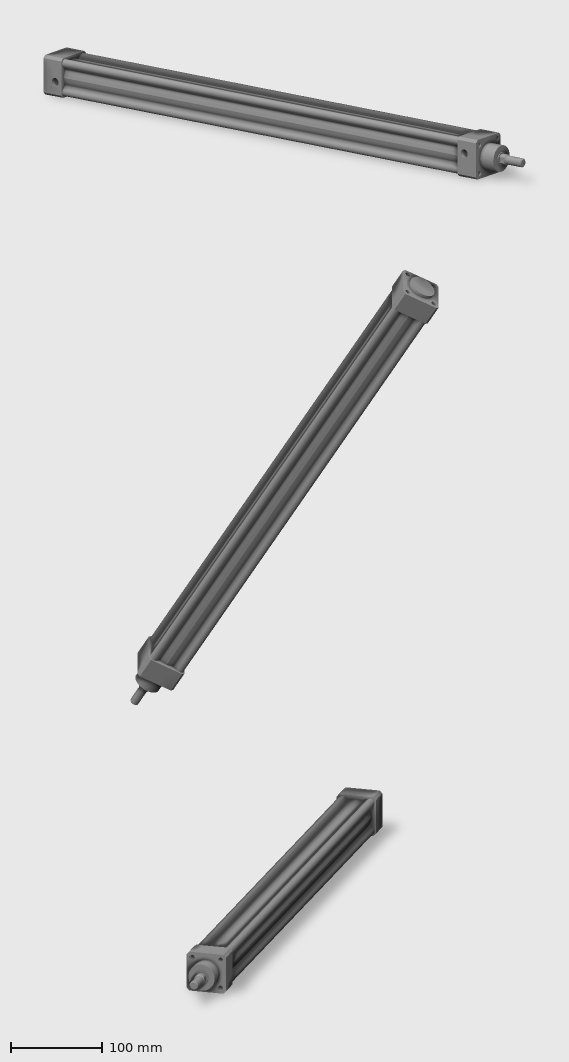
import cadquery as cq
import math

overall_length = 646.0
rear_spigot_length = 4.0
rear_cap_length = 24.5
front_cap_length = 25.5
front_boss_length = 18.0
shoulder_projection = 26.0
thread_length = 22.0

rear_end_x = -overall_length / 2
rear_face_x = rear_end_x + rear_spigot_length
barrel_start_x = rear_face_x + rear_cap_length
rod_tip_x = overall_length / 2
rod_shoulder_x = rod_tip_x - thread_length
front_face_x = rod_shoulder_x - shoulder_projection
barrel_end_x = front_face_x - front_cap_length
boss_end_x = front_face_x + front_boss_length

cap_side = 45.0
cap_corner_chamfer = 3.05
spigot_diameter = 30.0
wiper_collar_diameter = 15.0
wiper_collar_length = 1.0
screw_offset = 32.5 / 2
screw_hole_diameter = 4.2
screw_recess_diameter = 6.0
screw_recess_depth = 2.0
screw_hole_depth = 16.0

port_diameter = 9.2
port_depth = 10.0
port_inset = 16.0
port_height = 5.2

barrel_radius = 17.8
ridge_angle = 12.7
column_radius = 4.7
web_fillet_radius = 1.6

rod_diameter = 12.0
wrench_flat_width = 10.0
thread_diameter = 10.0
tip_chamfer = 1.0

screw_points = [(y, z) for y in (-screw_offset, screw_offset) for z in (-screw_offset, screw_offset)]


def section_at(x):
    """Plane across the cylinder axis at x, with local axes along Y and Z."""
    return cq.Workplane("YZ", origin=(x, 0, 0))


def cylinder_along_x(start_x, end_x, diameter):
    return section_at(start_x).circle(diameter / 2).extrude(end_x - start_x)


def cap_block(start_x, length):
    """Square block with its four long edges chamfered."""
    block = section_at(start_x).rect(cap_side, cap_side).extrude(length)
    return block.edges("|X").chamfer(cap_corner_chamfer)


def screw_holes(face_x, direction):
    """Four blind stepped hole cutters running from a cap face along +X (1) or -X (-1)."""
    mouths = section_at(face_x).pushPoints(screw_points)
    recesses = mouths.circle(screw_recess_diameter / 2).extrude(direction * screw_recess_depth)
    holes = mouths.circle(screw_hole_diameter / 2).extrude(direction * screw_hole_depth)
    return recesses.union(holes)


def port(x, z):
    """Blind hole cutter entering from the -Y side of a cap."""
    return cq.Workplane("XZ", origin=(x, -cap_side / 2, z)).circle(port_diameter / 2).extrude(-port_depth)


def make_rear_cap():
    cap = cap_block(rear_face_x, rear_cap_length)
    cap = cap.union(cylinder_along_x(rear_end_x, rear_face_x, spigot_diameter))
    cap = cap.cut(screw_holes(rear_face_x, 1))
    return cap.cut(port(rear_face_x + port_inset, -port_height))


def barrel_point(angle, radius=barrel_radius):
    turn = math.radians(angle)
    return (radius * math.cos(turn), radius * math.sin(turn))


def barrel_core():
    """Round core whose four ridges are pairs of flats tangent to the round stretches."""
    ridge_radius = barrel_radius / math.cos(math.radians(ridge_angle))
    outline = section_at(barrel_start_x).moveTo(*barrel_point(0, ridge_radius))
    for side_angle in (0, 90, 180, 270):
        outline = (
            outline.lineTo(*barrel_point(side_angle + ridge_angle))
            .threePointArc(barrel_point(side_angle + 45), barrel_point(side_angle + 90 - ridge_angle))
            .lineTo(*barrel_point(side_angle + 90, ridge_radius))
        )
    return outline.close().extrude(barrel_end_x - barrel_start_x)


def make_barrel():
    barrel = barrel_core()
    slot_length = 2 * (math.hypot(screw_offset, screw_offset) + column_radius)
    for angle in (45, -45):
        columns_and_web = (
            section_at(barrel_start_x)
            .slot2D(slot_length, 2 * column_radius, angle)
            .extrude(barrel_end_x - barrel_start_x)
        )
        barrel = barrel.union(columns_and_web)
    half_web_angle = math.degrees(math.asin(column_radius / barrel_radius))
    middle_x = (barrel_start_x + barrel_end_x) / 2
    for diagonal in (45, 135, 225, 315):
        for side in (-1, 1):
            corner = (middle_x, *barrel_point(diagonal + side * half_web_angle))
            edge = cq.selectors.NearestToPointSelector(corner)
            barrel = barrel.edges("|X").edges(edge).fillet(web_fillet_radius)
    return barrel


def make_front_cap():
    collar_end_x = boss_end_x + wiper_collar_length
    cap = cap_block(barrel_end_x, front_cap_length)
    cap = cap.union(cylinder_along_x(front_face_x, boss_end_x, spigot_diameter))
    cap = cap.union(cylinder_along_x(boss_end_x, collar_end_x, wiper_collar_diameter))
    cap = cap.cut(cylinder_along_x(barrel_end_x, collar_end_x, rod_diameter))
    cap = cap.cut(screw_holes(front_face_x, -1))
    return cap.cut(port(front_face_x - port_inset, port_height))


def wrench_flat_cutters():
    """Two blocks that leave parallel flats on the -Y and +Y sides of the exposed shaft."""
    start_x = boss_end_x + wiper_collar_length
    length = rod_shoulder_x - start_x
    block_width = rod_diameter
    block_centre = (wrench_flat_width + block_width) / 2
    blocks = section_at(start_x).pushPoints([(-block_centre, 0), (block_centre, 0)])
    return blocks.rect(block_width, 2 * rod_diameter).extrude(length)


def make_rod():
    """Rod from the barrel end through the front cap, with wrench flats, a tapered shoulder and a thin tip."""
    rod_radius = rod_diameter / 2
    thread_radius = thread_diameter / 2
    rod = (
        cq.Workplane("XY")
        .moveTo(barrel_end_x, 0)
        .lineTo(barrel_end_x, rod_radius)
        .lineTo(rod_shoulder_x, rod_radius)
        .lineTo(rod_shoulder_x + rod_radius - thread_radius, thread_radius)
        .lineTo(rod_tip_x - tip_chamfer, thread_radius)
        .lineTo(rod_tip_x, thread_radius - tip_chamfer)
        .lineTo(rod_tip_x, 0)
        .close()
        .revolve(360, (0, 0, 0), (1, 0, 0))
    )
    return rod.cut(wrench_flat_cutters())


rear_cap = make_rear_cap()
barrel = make_barrel()
front_cap = make_front_cap()
rod = make_rod()

result = cq.Compound.makeCompound([rear_cap.val(), barrel.val(), front_cap.val(), rod.val()])